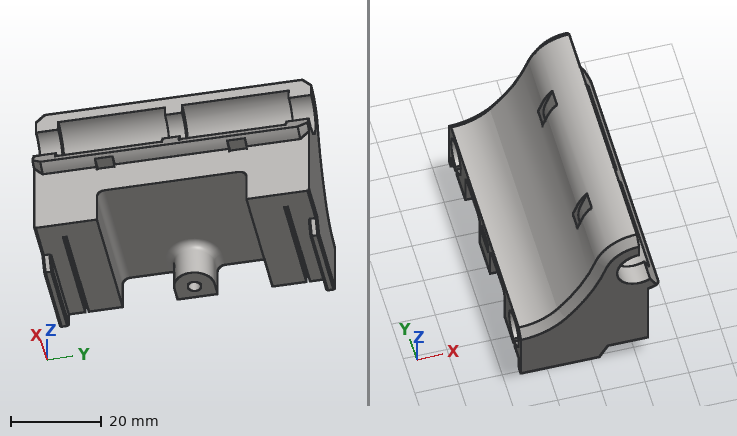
import cadquery as cq
import math

depth = 32.0
length = 62.0
height = 39.0

cradle_radius = 10.0
bore_radius = 5.0
pocket_radius = 7.25
lip_angle = math.radians(-60)
bore_x = depth - cradle_radius * math.cos(lip_angle)
bore_z = height - cradle_radius

front_height = 14.45
foot_curve_radius = 12.4
foot_curve_angle = math.radians(45.6)
cradle_blend_angle = math.radians(159.3)

rear_x = 29.1
base_z = 3.4
foot_length = 18.05
foot_width = 2.0
foot_slope = math.radians(60)
end_chamfer = 2.0
bottom_chamfer = 0.4

end_land = 5.0
middle_land = 3.85

strap_width = 3.95
strap_spacing = 29.8
strap_inner_radius = 9.1
strap_outer_radius = 10.35
strap_entry_angle = math.radians(159.5)

cavity_width = 33.7
cavity_top = 11.9
cavity_corner = 1.75
post_width = 9.05
post_centre_x = 3.5

nut_width = 5.5
nut_height = 2.5
nut_floor = 9.05
nut_depth = 6.2
screw_diameter = 3.0

socket_diameter = 8.2
socket_depth = 24.8
socket_z = 8.9
socket_spacing = 49.85
slit_width = 0.8

overcut = 3.1
tolerance = 0.005


def on_bore_circle(radius, angle):
    """XZ point on a circle about the bore axis."""
    return (bore_x + radius * math.cos(angle), bore_z + radius * math.sin(angle))


def extrude_along_y(sketch, y_centre, width):
    """Extrude an XZ sketch symmetrically about y_centre."""
    return sketch.extrude(width / 2, both=True).translate((0, y_centre, 0))


def box(x0, x1, y_centre, y_width, z0, z1):
    """Box between X and Z limits, centred on y_centre."""
    block = cq.Workplane("XY").box(x1 - x0, y_width, z1 - z0, centered=(False, True, False))
    return block.translate((x0, y_centre, z0))


def make_body():
    """Full-length profile, with the feet still running across the whole length."""
    def foot_curve(angle):
        return (foot_curve_radius * math.sin(angle),
                front_height + foot_curve_radius * (1 - math.cos(angle)))

    arc_half = (cradle_blend_angle + math.pi / 2) / 2
    wall_angle = -math.acos((rear_x - bore_x) / cradle_radius)
    slope_run = base_z / math.tan(foot_slope)
    outline = (
        cq.Workplane("XZ")
        .moveTo(0, front_height)
        .threePointArc(foot_curve(foot_curve_angle / 2), foot_curve(foot_curve_angle))
        .tangentArcPoint(on_bore_circle(cradle_radius, cradle_blend_angle), relative=False)
        .threePointArc(on_bore_circle(cradle_radius, arc_half), (bore_x, height))
        .lineTo(bore_x, bore_z + bore_radius)
        .threePointArc((bore_x - bore_radius, bore_z), on_bore_circle(bore_radius, lip_angle))
        .lineTo(*on_bore_circle(cradle_radius, lip_angle))
        .threePointArc(on_bore_circle(cradle_radius, (lip_angle + wall_angle) / 2),
                       on_bore_circle(cradle_radius, wall_angle))
        .lineTo(rear_x, base_z)
        .lineTo(foot_length + slope_run, base_z)
        .lineTo(foot_length, 0)
        .lineTo(0, 0)
        .close()
    )
    return extrude_along_y(outline, 0, length)


def chamfer_ends(body):
    """Chamfer both ends along the swept surface, the lip and the bottom."""
    def is_outer_arc(edge):
        return edge.geomType() == "CIRCLE" and edge.radius() > bore_radius + tolerance

    def is_bottom(edge):
        return edge.geomType() == "LINE" and edge.BoundingBox().zmax < base_z + tolerance

    end_edges = body.faces("<Y or >Y").edges().vals()
    body = body.newObject([e for e in end_edges if is_outer_arc(e)]).chamfer(end_chamfer)
    end_edges = body.faces("<Y or >Y").edges().vals()
    return body.newObject([e for e in end_edges if is_bottom(e)]).chamfer(bottom_chamfer)


def cut_between_feet(body):
    """Raise the underside between the two feet and break the inner foot edges."""
    inner_width = length - 2 * foot_width
    body = body.cut(box(-overcut, depth, 0, inner_width, -overcut, base_z))

    def is_inner_foot_edge(edge):
        bounds = edge.BoundingBox()
        on_inner_side = abs(abs(edge.Center().y) - inner_width / 2) < tolerance
        along_foot = bounds.ylen < tolerance and bounds.xlen > tolerance
        return on_inner_side and along_foot and edge.Center().z < base_z - tolerance

    edges = [e for e in body.edges().vals() if is_inner_foot_edge(e)]
    return body.newObject(edges).chamfer(bottom_chamfer)


def make_pockets():
    """Two wide seats along the bore, between the end and middle lands."""
    pocket_length = (length - 2 * end_land - middle_land) / 2
    pocket_y = (pocket_length + middle_land) / 2
    circle = cq.Workplane("XZ").center(bore_x, bore_z).circle(pocket_radius)
    pocket = extrude_along_y(circle, 0, pocket_length)
    return [pocket.translate((0, side * pocket_y, 0)) for side in (-1, 1)]


def make_strap_slots():
    """Curved slots from the front sweep around the cradle and out under the lip."""
    entry_length = 2 * strap_inner_radius
    lower_front = math.radians(225)
    entry = on_bore_circle(strap_inner_radius, strap_entry_angle)
    entry_top = (entry[0] + entry_length * math.sin(strap_entry_angle),
                 entry[1] - entry_length * math.cos(strap_entry_angle))
    exit_x = depth + overcut
    outline = (
        cq.Workplane("XZ")
        .moveTo(*entry)
        .threePointArc(on_bore_circle(strap_inner_radius, lower_front),
                       (bore_x, bore_z - strap_inner_radius))
        .lineTo(exit_x, bore_z - strap_inner_radius)
        .lineTo(exit_x, bore_z - strap_outer_radius)
        .lineTo(bore_x, bore_z - strap_outer_radius)
        .threePointArc(on_bore_circle(strap_outer_radius, lower_front),
                       (bore_x - strap_outer_radius, bore_z))
        .lineTo(bore_x - strap_outer_radius, entry_top[1])
        .lineTo(*entry_top)
        .close()
    )
    slot = extrude_along_y(outline, 0, strap_width)
    return [slot.translate((0, side * strap_spacing / 2, 0)) for side in (-1, 1)]


def make_cavity():
    """Cavity open at front, back and bottom, leaving the round-ended post."""
    cavity = box(-overcut, depth + overcut, 0, cavity_width, 0, cavity_top)
    post = box(-overcut, post_centre_x, 0, post_width, 0, cavity_top)
    post_end = cq.Workplane("XY").center(post_centre_x, 0).circle(post_width / 2).extrude(cavity_top)
    cavity = cavity.cut(post.union(post_end))
    ceiling_edges = [e for e in cavity.faces(">Z").edges().vals()
                     if e.geomType() == "CIRCLE" or e.BoundingBox().ylen < tolerance]
    return cavity.newObject(ceiling_edges).fillet(cavity_corner)


def make_nut_seat():
    """Nut slot from the front, over a vertical screw hole through the post."""
    top = nut_floor + nut_height
    slot = box(-overcut, nut_depth, 0, nut_width, nut_floor, top)
    hole = cq.Workplane("XY").center(post_centre_x, 0).circle(screw_diameter / 2).extrude(top)
    return slot.union(hole)


def make_sockets():
    """Blind sockets, each slit open to the underside."""
    socket = cq.Workplane("YZ").center(0, socket_z).circle(socket_diameter / 2).extrude(socket_depth)
    socket = socket.union(box(0, socket_depth, 0, slit_width, 0, socket_z))
    return [socket.translate((0, side * socket_spacing / 2, 0)) for side in (-1, 1)]


result = cut_between_feet(chamfer_ends(make_body()))
for cutter in make_pockets() + make_strap_slots() + [make_cavity(), make_nut_seat()] + make_sockets():
    result = result.cut(cutter)